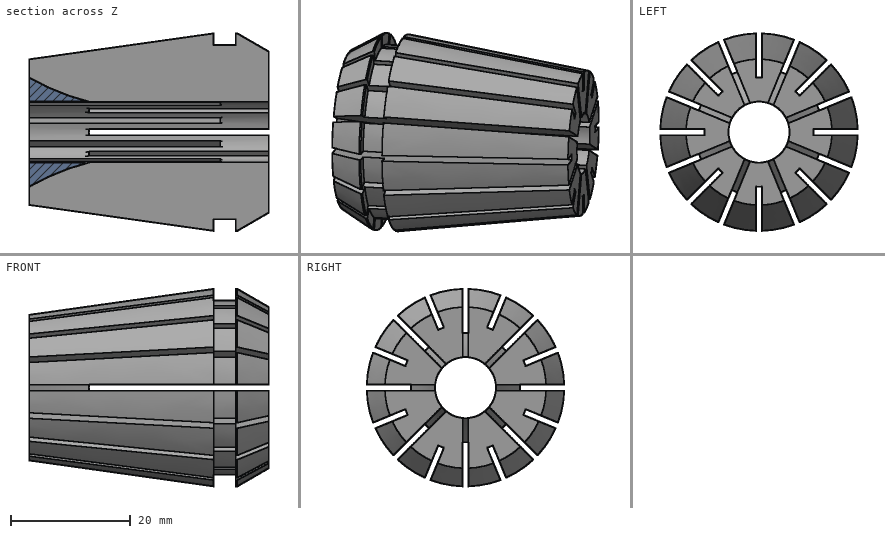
import cadquery as cq
import math


length = 40.0
outer_radius = 33.0 / 2
bore_radius = 5.1
nose_taper_angle = 8.0
back_taper_angle = 30.0

nose_length = 30.8
groove_width = 3.65
groove_radius = 14.55
land_width = 0.3

slot_width = 1.0
slots_per_end = 8
run_out_radius = 40.0
back_slot_floor_radius = 3.85
back_slot_end_radius = 9.1
nose_slot_floor_radius = 0.5
nose_slot_end_radius = 10.7
slot_clearance = 2.0

groove_end = nose_length + groove_width
back_taper_start = groove_end + land_width
nose_radius = outer_radius - nose_length * math.tan(math.radians(nose_taper_angle))
back_radius = outer_radius - (length - back_taper_start) * math.tan(math.radians(back_taper_angle))
slot_top = outer_radius + slot_clearance
slot_pitch = 360.0 / slots_per_end


def make_body():
    """Bored body with a cone at each end and the groove between them."""
    half_section = (
        cq.Workplane("XY")
        .moveTo(0, bore_radius)
        .lineTo(0, nose_radius)
        .lineTo(nose_length, outer_radius)
        .lineTo(nose_length, groove_radius)
        .lineTo(groove_end, groove_radius)
        .lineTo(groove_end, outer_radius)
        .lineTo(back_taper_start, outer_radius)
        .lineTo(length, back_radius)
        .lineTo(length, bore_radius)
        .close()
    )
    return half_section.revolve(360, (0, 0, 0), (1, 0, 0))


def make_slot(floor_radius, end_radius):
    """Slot cut from the X = length end; its floor curves up to end_radius at X = 0."""
    rise = end_radius - floor_radius
    sweep = math.acos(1 - rise / run_out_radius)
    run_out_length = run_out_radius * math.sin(sweep)
    arc_middle = (
        run_out_length - run_out_radius * math.sin(sweep / 2),
        floor_radius + run_out_radius * (1 - math.cos(sweep / 2)),
    )
    return (
        cq.Workplane("XY")
        .moveTo(0, slot_top)
        .lineTo(0, end_radius)
        .threePointArc(arc_middle, (run_out_length, floor_radius))
        .lineTo(length, floor_radius)
        .lineTo(length, slot_top)
        .close()
        .extrude(slot_width / 2, both=True)
    )


def turn(solid, angle):
    """Rotate a solid about the collet axis."""
    return solid.rotate((0, 0, 0), (1, 0, 0), angle)


back_slot = make_slot(back_slot_floor_radius, back_slot_end_radius)
nose_slot = make_slot(nose_slot_floor_radius, nose_slot_end_radius)
nose_slot = nose_slot.mirror("YZ").translate((length, 0, 0))

result = make_body()
for i in range(slots_per_end):
    result = result.cut(turn(back_slot, i * slot_pitch))
    result = result.cut(turn(nose_slot, (i + 0.5) * slot_pitch))